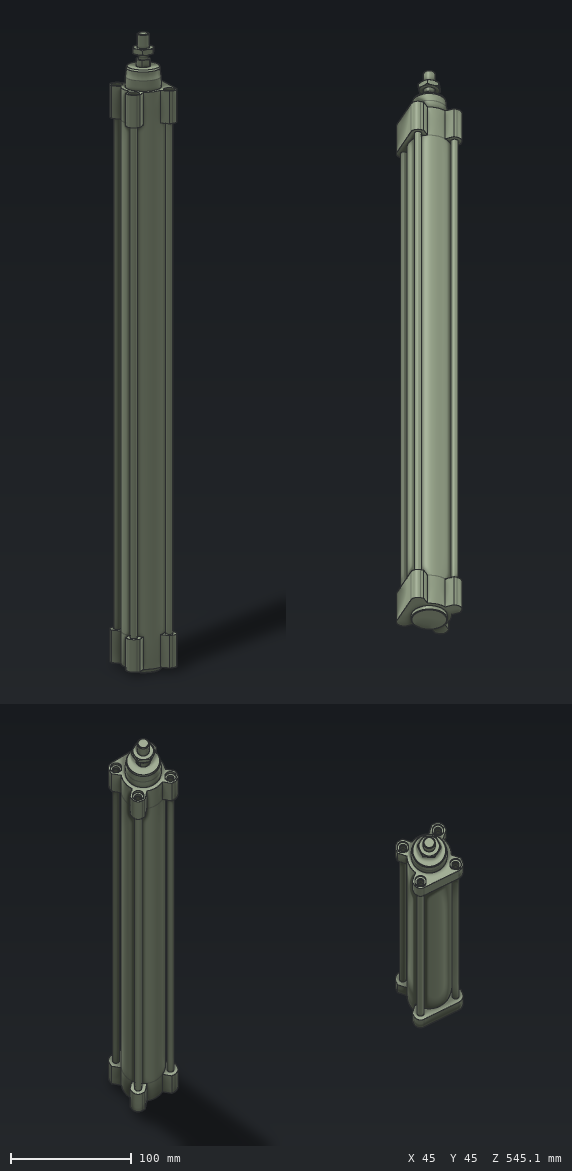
import cadquery as cq
import math

overall_length = 545.1
rear_collar_height = 4.0
cap_height = 28.0
rear_cap_top = rear_collar_height + cap_height
rod_reach = 46.0
front_cap_top = overall_length - rod_reach
front_cap_bottom = front_cap_top - cap_height
barrel_length = front_cap_bottom - rear_cap_top

cap_width = 45.0
half_width = cap_width / 2
screw_spacing = 32.5
screw_offset = screw_spacing / 2
lug_radius = half_width - screw_offset
lug_inner_edge = 13.5
barrel_diameter = 37.0
bulge_radius = barrel_diameter / 2
flank_intercept = half_width - lug_inner_edge
bulge_half_width = (math.sqrt(2 * bulge_radius**2 - flank_intercept**2) - flank_intercept) / 2
bulge_edge_depth = bulge_half_width + flank_intercept

collar_diameter = 30.0
collar_chamfer = 0.6
front_collar_height = 18.0
front_collar_base_height = 9.0
neck_diameter = 28.4
neck_chamfer_width = 0.6
neck_chamfer_height = 1.6

tie_rod_diameter = 6.0

recess_diameter = 9.5
recess_depth = 3.0
screw_hole_diameter = 6.0
screw_hole_depth = 6.0
thread_hole_diameter = 4.92
thread_hole_depth = 16.0
drill_tip_slope = 31.0

rod_diameter = 12.0
rod_inserted_length = 30.0
rod_flats_width = 10.0
undercut_length = 2.0
thread_diameter = 10.0
thread_end_diameter = 8.57
undercut_diameter = 8.2
thread_end_chamfer = (thread_diameter - thread_end_diameter) / 2
threaded_length = 22.0
shoulder = overall_length - threaded_length
front_collar_top = front_cap_top + front_collar_height
rod_bottom = front_collar_top - rod_inserted_length

nut_flats_width = 17.0
nut_height = 5.0
thread_above_nut = 12.0
nut_top = overall_length - thread_above_nut
nut_bottom = nut_top - nut_height
half_hexagon_angle = 30.0
nut_corner_diameter = nut_flats_width / math.cos(math.radians(half_hexagon_angle))
nut_chamfer_slope = 30.0
nut_chamfer_width = (nut_corner_diameter - nut_flats_width) / 2
nut_chamfer_height = nut_chamfer_width * math.tan(math.radians(nut_chamfer_slope))


def cylinder(diameter, bottom, height):
    return cq.Workplane("XY", origin=(0, 0, bottom)).circle(diameter / 2).extrude(height)


def make_cap(bottom):
    cap = (
        cq.Workplane("XY", origin=(0, 0, bottom))
        .rect(cap_width, cap_width)
        .extrude(cap_height)
        .edges("|Z")
        .fillet(lug_radius)
    )
    waist = (
        cq.Workplane("XY", origin=(0, 0, bottom))
        .moveTo(-bulge_half_width, -bulge_edge_depth)
        .threePointArc((0, -bulge_radius), (bulge_half_width, -bulge_edge_depth))
        .lineTo(lug_inner_edge, -half_width)
        .lineTo(-lug_inner_edge, -half_width)
        .close()
        .extrude(cap_height)
    )
    for angle in (-90, 0, 90):
        cap = cap.cut(waist.rotate((0, 0, 0), (0, 0, 1), angle))
    return cap


def make_front_collar():
    base_radius = collar_diameter / 2
    base_top = front_cap_top + front_collar_base_height
    neck_radius = neck_diameter / 2
    neck_top = front_collar_top - neck_chamfer_height
    flare_middle = (neck_radius + (base_radius - neck_radius) / 4, (neck_top + base_top) / 2)
    return (
        cq.Workplane("XZ")
        .moveTo(0, front_cap_top)
        .lineTo(0, front_collar_top)
        .lineTo(neck_radius - neck_chamfer_width, front_collar_top)
        .lineTo(neck_radius, neck_top)
        .threePointArc(flare_middle, (base_radius, base_top))
        .lineTo(base_radius, front_cap_top)
        .close()
        .revolve(360, (0, 0, 0), (0, 1, 0))
    )


def make_corner_hole():
    """Tool with its mouth at Z = 0: a counterbore, a shallow step and a drilled hole."""
    tip_height = thread_hole_diameter / 2 * math.tan(math.radians(drill_tip_slope))
    return (
        cq.Workplane("XZ")
        .lineTo(recess_diameter / 2, 0)
        .lineTo(recess_diameter / 2, -recess_depth)
        .lineTo(screw_hole_diameter / 2, -recess_depth)
        .lineTo(screw_hole_diameter / 2, -screw_hole_depth)
        .lineTo(thread_hole_diameter / 2, -screw_hole_depth)
        .lineTo(thread_hole_diameter / 2, -thread_hole_depth)
        .lineTo(0, -thread_hole_depth - tip_height)
        .close()
        .revolve(360, (0, 0, 0), (0, 1, 0))
    )


def make_housing():
    rear_collar = cylinder(collar_diameter, 0, rear_collar_height).faces("<Z").chamfer(collar_chamfer)
    housing = (
        make_cap(rear_collar_height)
        .union(rear_collar)
        .union(cylinder(barrel_diameter, rear_cap_top, barrel_length))
        .union(make_cap(front_cap_bottom))
        .union(make_front_collar())
    )
    for x in (-screw_offset, screw_offset):
        for y in (-screw_offset, screw_offset):
            tie_rod = cylinder(tie_rod_diameter, rear_cap_top, barrel_length)
            housing = housing.union(tie_rod.translate((x, y, 0)))
            housing = housing.cut(make_corner_hole().translate((x, y, front_cap_top)))
    return housing.cut(cylinder(rod_diameter, rod_bottom, rod_inserted_length))


def make_rod():
    rod = (
        cq.Workplane("XZ")
        .moveTo(0, rod_bottom)
        .lineTo(rod_diameter / 2, rod_bottom)
        .lineTo(rod_diameter / 2, shoulder)
        .lineTo(undercut_diameter / 2, shoulder)
        .lineTo(undercut_diameter / 2, shoulder + undercut_length)
        .lineTo(thread_diameter / 2, nut_bottom)
        .lineTo(thread_diameter / 2, overall_length - thread_end_chamfer)
        .lineTo(thread_end_diameter / 2, overall_length)
        .lineTo(0, overall_length)
        .close()
        .revolve(360, (0, 0, 0), (0, 1, 0))
    )
    flats_height = shoulder - front_collar_top
    flat_depth = (rod_diameter - rod_flats_width) / 2
    for side in (-1, 1):
        flat_center = (side * (rod_flats_width + flat_depth) / 2, 0, front_collar_top)
        flat_cut = cq.Workplane("XY", origin=flat_center).rect(flat_depth, rod_diameter).extrude(flats_height)
        rod = rod.cut(flat_cut)
    return rod


def make_nut():
    hexagon = (
        cq.Workplane("XY", origin=(0, 0, nut_bottom))
        .polygon(6, nut_corner_diameter)
        .extrude(nut_height)
        .rotate((0, 0, 0), (0, 0, 1), half_hexagon_angle)
    )
    chamfer_envelope = (
        cylinder(nut_corner_diameter, nut_bottom, nut_height)
        .faces("<Z or >Z")
        .chamfer(nut_chamfer_height, nut_chamfer_width)
    )
    return hexagon.intersect(chamfer_envelope).cut(cylinder(thread_diameter, nut_bottom, nut_height))


housing = make_housing()
rod = make_rod()
nut = make_nut()
result = cq.Compound.makeCompound([housing.val(), rod.val(), nut.val()])